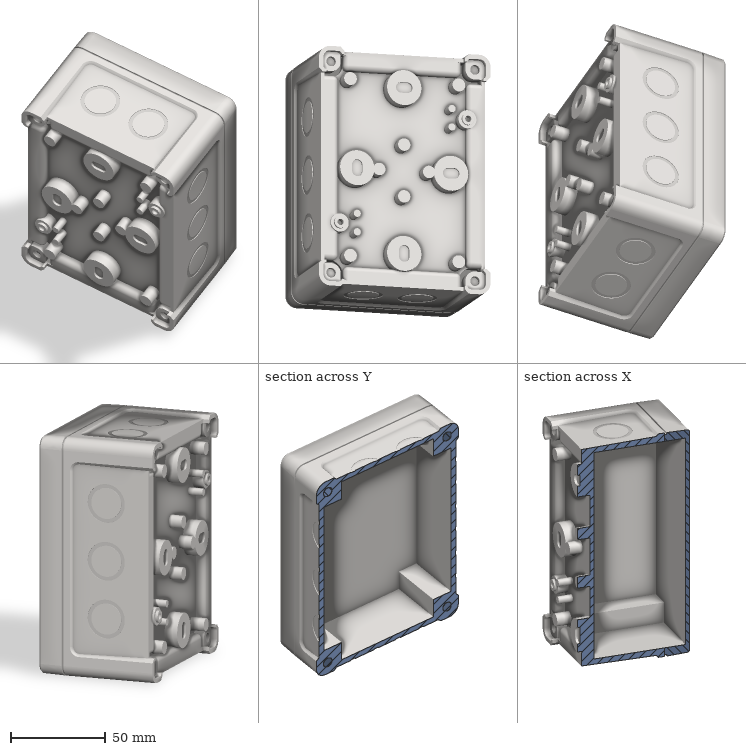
import cadquery as cq


WIDTH = 95.0
HEIGHT = 130.0
DEPTH = 65.3
CORNER_RADIUS = 6.4
HOUSING_DEPTH = 51.0
JOINT_GAP = 1.0
JOINT_INSET = 0.9
HALF_WIDTH = WIDTH / 2
HALF_HEIGHT = HEIGHT / 2

LID_DRAFT_ANGLE = 1.5
LID_CHAMFER = 1.0

WALL = 5.2
FLOOR = 2.6
LID_FRONT = 2.6
CORNER_BLOCK = 16.9

PANEL_MARGIN = 12.0
PANEL_TOP = 47.3
PANEL_CORNER_RADIUS = 5.1
PANEL_DEPTH_LID = 1.3
PANEL_DEPTH_BACK = 2.1
PANEL_BEVEL_ANGLE = 45.0
KNOCKOUT_Y = 27.2
KNOCKOUT_OUTER_RADIUS = 10.5
KNOCKOUT_INNER_RADIUS = 8.5
KNOCKOUT_GROOVE = 0.4
KNOCKOUT_PITCH_X = 30.0
KNOCKOUT_PITCH_Z = 31.5
PANEL_FRUSTUM_DEPTH = 2.6
PANEL_OVERRUN = 6.5

RIM_Y = 3.2
DECK_Y = RIM_Y + 5.0
MOAT_Y = DECK_Y + 2.6
CORNER_FOOT = PANEL_MARGIN + PANEL_DEPTH_BACK
RIM_WALL = 4.0
LEDGE_WIDTH = 11.8
LEDGE_END = 15.1
LEDGE_ROUNDING = 2.6

POST_INSET = 7.7
POST_SIZE = 10.4
POST_OUTER_RADIUS = 3.6
POST_SIDE_RADIUS = 2.1
POST_INNER_RADIUS = 5.1
MOAT_RADIUS = 7.9
SCREW_RADIUS = 2.6
SCREW_END_Y = RIM_Y + 2.6
POST_X = HALF_WIDTH - POST_INSET
POST_Z = HALF_HEIGHT - POST_INSET

PIN_DRAFT_ANGLE = 1.0
FOOT_END_Y = 0.1
BOSS_END_Y = 1.0
FOOT_RADIUS = 3.5
FOOT_X = 30.0
FOOT_Z = 48.0
CENTRE_PIN_RADIUS = 3.4
CENTRE_PIN_Z = 14.0
SMALL_FOOT_RADIUS = 2.0
SMALL_FOOT_X = 26.3
SMALL_FOOT_Z = (25.0, 35.0)
MOUNT_RADIUS = 9.5
MOUNT_X = 26.0
MOUNT_Z = 45.0
LOBE_X = 13.8
SLOT_LENGTH = 9.1
SLOT_WIDTH = 5.7
SLOT_DEPTH = 1.3
STEP_BOSS_X = 35.4
STEP_BOSS_Z = 30.0
STEP_BOSS_RADIUS = 5.0
STEP_BOSS_Y = 2.1
STEP_NECK_RADIUS = 3.2
STEP_NECK_Y = 0.6
STEP_HOLE_RADIUS = 1.7
STEP_HOLE_DEPTH = 3.9

CORNERS = [(sx, sz) for sx in (-1, 1) for sz in (-1, 1)]
POST_POINTS = [(sx * POST_X, sz * POST_Z) for sx, sz in CORNERS]


def plane_at(y):
    """Workplane at the given Y with local axes X and Z."""
    return cq.Workplane("XZ", origin=(0, y, 0))


def block(half_x, half_z, y_start, y_end):
    """Centred box between two Y positions."""
    return plane_at(y_start).rect(2 * half_x, 2 * half_z).extrude(y_start - y_end)


def cylinders(points, radius, y_start, y_end):
    """Round pins along Y at the given (X, Z) points."""
    return plane_at(y_start).pushPoints(points).circle(radius).extrude(y_start - y_end)


def drafted_pins(points, end_radius, end_y):
    """Pins at the (X, Z) points, widening from their free end down to the moat level."""
    pins = plane_at(end_y).pushPoints(points).circle(end_radius)
    return pins.extrude(end_y - MOAT_Y, taper=-PIN_DRAFT_ANGLE)


def corner_posts(y_start, y_end):
    """Four posts: square, with the largest radius towards the deck."""
    post = block(POST_SIZE / 2, POST_SIZE / 2, y_start, y_end)
    post = post.edges("|Y and >X and >Z").fillet(POST_OUTER_RADIUS)
    post = post.edges("|Y and <X and <Z").fillet(POST_INNER_RADIUS)
    post = post.edges("|Y and ((>X and <Z) or (<X and >Z))").fillet(POST_SIDE_RADIUS)
    post = post.translate((POST_X, 0, POST_Z))
    pair = post.union(post.mirror("YZ"))
    return pair.union(pair.mirror("XY"))


def wall_ledge(wall_half, ledge_half_length, angle):
    """Ledge along the inside of one wall, built at +X and turned about Y."""
    width = LEDGE_WIDTH - RIM_WALL
    middle = wall_half - RIM_WALL - width / 2
    ledge = (
        plane_at(RIM_Y)
        .center(middle, 0)
        .rect(width, 2 * ledge_half_length)
        .extrude(RIM_Y - MOAT_Y)
        .edges("(|Y and <X) or (<Y and (not >X))")
        .fillet(LEDGE_ROUNDING)
    )
    return ledge.rotate((0, 0, 0), (0, 1, 0), angle)


def wall_ledges():
    """The four ledges, clear of the corner posts."""
    ledges = cq.Workplane("XY")
    for angle in (0, 180):
        ledges = ledges.union(wall_ledge(HALF_WIDTH, HALF_HEIGHT - LEDGE_END, angle))
        ledges = ledges.union(wall_ledge(HALF_HEIGHT, HALF_WIDTH - LEDGE_END, angle + 90))
    return ledges


def outside_panel(wall_half, extra_depth):
    """Space at +X outside the drafted panel face, which may be sunk by an extra depth."""
    outer_x = wall_half + 1.3
    back_x = wall_half - PANEL_DEPTH_BACK - extra_depth
    lid_x = wall_half - PANEL_DEPTH_LID - extra_depth
    outline = [(back_x, 0), (lid_x, PANEL_TOP), (outer_x, PANEL_TOP), (outer_x, 0)]
    return cq.Workplane("XY").polyline(outline).close().extrude(HALF_HEIGHT, both=True)


def panel_cut(wall_half, panel_half_length, knockout_places, angle):
    """Cutter for one bevelled side panel with knock-out grooves, built at +X and turned about Y."""
    outline_length = PANEL_TOP + PANEL_OVERRUN
    frustum = (
        cq.Workplane("YZ", origin=(wall_half, PANEL_TOP - outline_length / 2, 0))
        .sketch()
        .rect(outline_length, 2 * panel_half_length)
        .vertices(">X")
        .fillet(PANEL_CORNER_RADIUS)
        .finalize()
        .extrude(-PANEL_FRUSTUM_DEPTH, taper=PANEL_BEVEL_ANGLE)
    )
    panel = frustum.intersect(outside_panel(wall_half, 0))
    grooves = (
        cq.Workplane("YZ", origin=(wall_half, KNOCKOUT_Y, 0))
        .pushPoints([(0, z) for z in knockout_places])
        .circle(KNOCKOUT_OUTER_RADIUS)
        .circle(KNOCKOUT_INNER_RADIUS)
        .extrude(-PANEL_FRUSTUM_DEPTH)
        .intersect(outside_panel(wall_half, KNOCKOUT_GROOVE))
    )
    return panel.union(grooves).rotate((0, 0, 0), (0, 1, 0), angle)


def side_panels():
    """Cutters for the panels of all four walls."""
    three_knockouts = (-KNOCKOUT_PITCH_Z, 0, KNOCKOUT_PITCH_Z)
    two_knockouts = (-KNOCKOUT_PITCH_X / 2, KNOCKOUT_PITCH_X / 2)
    long_half = HALF_HEIGHT - PANEL_MARGIN
    short_half = HALF_WIDTH - PANEL_MARGIN
    panels = cq.Workplane("XY")
    for angle in (0, 180):
        panels = panels.union(panel_cut(HALF_WIDTH, long_half, three_knockouts, angle))
        panels = panels.union(panel_cut(HALF_HEIGHT, short_half, two_knockouts, angle + 90))
    return panels


def cavity(y_start, y_end):
    """Inner space that leaves a solid block in each corner."""
    full_width = block(HALF_WIDTH - WALL, HALF_HEIGHT - CORNER_BLOCK, y_start, y_end)
    full_height = block(HALF_WIDTH - CORNER_BLOCK, HALF_HEIGHT - WALL, y_start, y_end)
    return full_width.union(full_height)


def screw_shanks():
    """Screw shanks from the corner posts to the outer face of the lid."""
    return cylinders(POST_POINTS, SCREW_RADIUS, SCREW_END_Y, DEPTH)


def mount_boss(x, z, slot_angle):
    """Round fixing boss with a slot-shaped knock-out, its lobe not included."""
    boss = drafted_pins([(x, z)], MOUNT_RADIUS, BOSS_END_Y)
    slot = (
        plane_at(BOSS_END_Y)
        .center(x, z)
        .slot2D(SLOT_LENGTH, SLOT_WIDTH, slot_angle)
        .extrude(-SLOT_DEPTH)
    )
    return boss.cut(slot)


def mount_bosses():
    """Four fixing bosses, the side ones with a lobe towards the middle, and two centre pins."""
    lobes = [(-LOBE_X, 0), (LOBE_X, 0)]
    centre_pins = [(0, -CENTRE_PIN_Z), (0, CENTRE_PIN_Z)]
    bosses = drafted_pins(lobes + centre_pins, CENTRE_PIN_RADIUS, BOSS_END_Y)
    bosses = bosses.union(mount_boss(0, MOUNT_Z, 0))
    bosses = bosses.union(mount_boss(0, -MOUNT_Z, 90))
    bosses = bosses.union(mount_boss(-MOUNT_X, 0, 90))
    return bosses.union(mount_boss(MOUNT_X, 0, 0))


def feet():
    """Four large feet near the corners and two pairs of small ones beside the step bosses."""
    large_points = [(sx * FOOT_X, sz * FOOT_Z) for sx, sz in CORNERS]
    small_points = [(side * SMALL_FOOT_X, side * z) for side in (-1, 1) for z in SMALL_FOOT_Z]
    large = drafted_pins(large_points, FOOT_RADIUS, FOOT_END_Y)
    return large.union(drafted_pins(small_points, SMALL_FOOT_RADIUS, FOOT_END_Y))


def step_bosses():
    """Two stepped bosses with a blind hole, on opposite long walls."""
    points = [(STEP_BOSS_X, STEP_BOSS_Z), (-STEP_BOSS_X, -STEP_BOSS_Z)]
    base = cylinders(points, STEP_BOSS_RADIUS, STEP_BOSS_Y, MOAT_Y)
    neck = cylinders(points, STEP_NECK_RADIUS, STEP_NECK_Y, MOAT_Y)
    hole = cylinders(points, STEP_HOLE_RADIUS, STEP_NECK_Y, STEP_NECK_Y + STEP_HOLE_DEPTH)
    return base.union(neck).cut(hole)


def deck_recess():
    """Cutter inside the walls: the deck, and a deeper moat round each corner post."""
    inner_x = HALF_WIDTH - RIM_WALL
    inner_z = HALF_HEIGHT - RIM_WALL
    deck = block(inner_x, inner_z, 0, DECK_Y)
    moat = cylinders(POST_POINTS, MOAT_RADIUS, 0, MOAT_Y)
    moat = moat.intersect(block(inner_x, inner_z, 0, MOAT_Y))
    return deck.union(moat).cut(corner_posts(RIM_Y, MOAT_Y)).cut(wall_ledges())


def make_housing():
    housing = block(HALF_WIDTH, HALF_HEIGHT, 0, HOUSING_DEPTH).edges("|Y").fillet(CORNER_RADIUS)
    housing = housing.cut(side_panels())
    housing = housing.cut(block(HALF_WIDTH - CORNER_FOOT, HALF_HEIGHT, 0, RIM_Y))
    housing = housing.cut(block(HALF_WIDTH, HALF_HEIGHT - CORNER_FOOT, 0, RIM_Y))
    housing = housing.cut(corner_posts(0, RIM_Y))
    housing = housing.cut(deck_recess())
    housing = housing.union(mount_bosses()).union(feet()).union(step_bosses())
    housing = housing.cut(cavity(DECK_Y + FLOOR, HOUSING_DEPTH))
    return housing.cut(cylinders(POST_POINTS, SCREW_RADIUS, 0, HOUSING_DEPTH))


def make_lid():
    """Hollow drafted lid with an inset lip that stands on the housing."""
    edge_y = HOUSING_DEPTH + JOINT_GAP
    shell = (
        plane_at(edge_y)
        .sketch()
        .rect(WIDTH, HEIGHT)
        .vertices()
        .fillet(CORNER_RADIUS)
        .finalize()
        .extrude(edge_y - DEPTH, taper=LID_DRAFT_ANGLE)
        .faces(">Y")
        .chamfer(LID_CHAMFER)
    )
    lip = block(HALF_WIDTH - JOINT_INSET, HALF_HEIGHT - JOINT_INSET, HOUSING_DEPTH, edge_y)
    lip = lip.edges("|Y").fillet(CORNER_RADIUS - JOINT_INSET)
    lid = shell.union(lip).cut(cavity(HOUSING_DEPTH, DEPTH - LID_FRONT))
    return lid.cut(screw_shanks())


housing = make_housing()
lid = make_lid()
screws = screw_shanks()

result = cq.Compound.makeCompound([housing.val(), lid.val(), *screws.vals()])